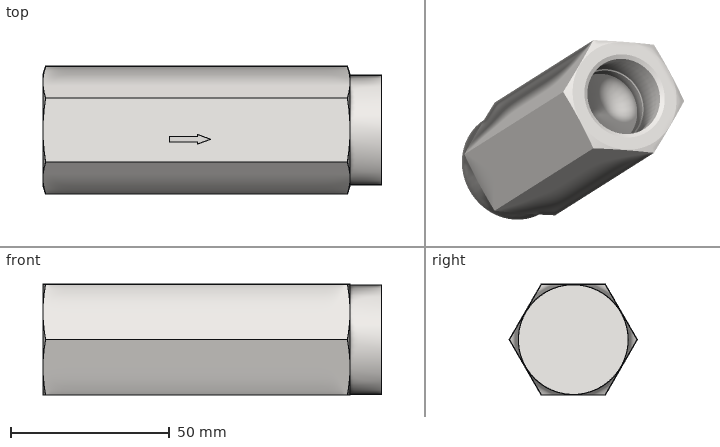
import cadquery as cq
import math

total_length = 106.7
hex_corner_width = 40.3
hex_flat_width = hex_corner_width * math.cos(math.pi / 6)

stub_diameter = 34.6
stub_length = 9.9
hex_length = total_length - stub_length

corner_chamfer_diameter = 34.7
corner_chamfer_angle = 17.0

port_mouth_diameter = 26.8
port_mouth_chamfer_depth = 0.9
port_diameter = 24.2
port_depth = 16.4
inner_bore_diameter = 23.3
inner_bore_depth = 21.3
seat_cone_angle = 60.0
seat_end_diameter = 12.7
tip_cone_angle = 59.0

arrow_tail_x = 39.9
arrow_length = 12.9
arrow_head_length = 4.1
arrow_head_width = 3.0
arrow_shaft_width = 1.7
arrow_center_y = -2.9
arrow_depth = 0.2


def revolve_about_x(points):
    """Solid of revolution about the X axis from (x, radius) points."""
    return cq.Workplane("XY").polyline(points).close().revolve(360, (0, 0), (1, 0))


def make_hex_body():
    prism = cq.Workplane("YZ").polygon(6, hex_corner_width).extrude(hex_length)
    face_radius = corner_chamfer_diameter / 2
    corner_radius = hex_corner_width / 2
    setback = (corner_radius - face_radius) * math.tan(math.radians(corner_chamfer_angle))
    envelope = revolve_about_x([
        (0, 0),
        (0, face_radius),
        (setback, corner_radius),
        (hex_length - setback, corner_radius),
        (hex_length, face_radius),
        (hex_length, 0),
    ])
    return prism.intersect(envelope)


def make_stub():
    return cq.Workplane("YZ").workplane(offset=hex_length).circle(stub_diameter / 2).extrude(stub_length)


def make_port():
    mouth_radius = port_mouth_diameter / 2
    port_radius = port_diameter / 2
    inner_bore_radius = inner_bore_diameter / 2
    seat_end_radius = seat_end_diameter / 2
    seat_length = (inner_bore_radius - seat_end_radius) / math.tan(math.radians(seat_cone_angle))
    seat_end_x = inner_bore_depth + seat_length
    tip_x = seat_end_x + seat_end_radius / math.tan(math.radians(tip_cone_angle))
    return revolve_about_x([
        (0, 0),
        (0, mouth_radius),
        (port_mouth_chamfer_depth, port_radius),
        (port_depth, port_radius),
        (port_depth, inner_bore_radius),
        (inner_bore_depth, inner_bore_radius),
        (seat_end_x, seat_end_radius),
        (tip_x, 0),
    ])


def make_arrow():
    tip_x = arrow_tail_x + arrow_length
    head_x = tip_x - arrow_head_length
    half_shaft = arrow_shaft_width / 2
    half_head = arrow_head_width / 2
    return (
        cq.Workplane("XY", origin=(0, arrow_center_y, hex_flat_width / 2 - arrow_depth))
        .moveTo(arrow_tail_x, -half_shaft)
        .lineTo(head_x, -half_shaft)
        .lineTo(head_x, -half_head)
        .lineTo(tip_x, 0)
        .lineTo(head_x, half_head)
        .lineTo(head_x, half_shaft)
        .lineTo(arrow_tail_x, half_shaft)
        .close()
        .extrude(2 * arrow_depth)
    )


result = make_hex_body().union(make_stub()).cut(make_port()).cut(make_arrow())